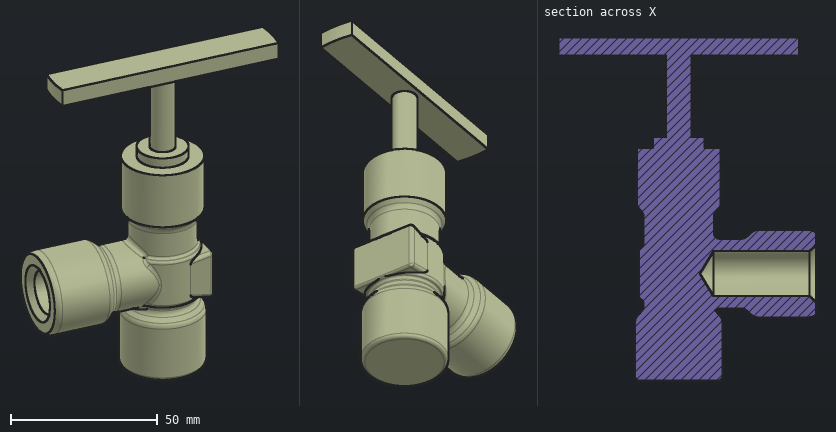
import cadquery as cq
import math

port_radius = 15.0
neck_radius = 12.1
port_length = 20.3
bottom_fillet = 1.4
shoulder_angle = 42.0
shoulder_outer_fillet = 2.8
shoulder_inner_fillet = 3.2

nut_radius = 14.3
nut_bottom = 59.4
nut_top = 79.5
gland_radius = 8.9
gland_top = 83.1
stem_radius = 4.5

side_port_height = 36.5
collar_radius = 13.6
collar_half_height = 9.5
collar_slope_length = 0.8
collar_fillet = 1.3

side_neck_radius = 12.0
side_port_reach = 47.0
side_port_length = 20.3
end_rounding_length = 2.5
end_rounding_drop = 1.0
branch_fillet = 2.0

bore_radius = 7.6
bore_chamfer = 2.3
bore_depth = 35.1
drill_tip_angle = 118.0

block_half_width = 12.8
block_back = 13.6
block_half_height = 9.0
block_draft = 10.0
block_side_fillet = 1.4
block_back_fillet = 0.8

handle_width = 13.0
handle_thickness = 6.2
handle_length = 82.4
handle_top = 117.1

shortest_line = 0.001

shoulder_setback = shoulder_outer_fillet * math.tan(math.radians(shoulder_angle / 2))


def sloped_height(large_radius, small_radius):
    """Height of a shoulder cone between two radii."""
    return (large_radius - small_radius) / math.tan(math.radians(shoulder_angle))


def turned(corners):
    """Turn a profile about Z. Each corner is (radius, height, rounding); both ends lie on the axis."""
    pen = cq.Vector(*corners[0][:2])
    profile = cq.Workplane("XZ").moveTo(pen.x, pen.y)
    for before, corner, after in zip(corners, corners[1:], corners[2:]):
        here = cq.Vector(*corner[:2])
        rounding = corner[2]
        if rounding == 0:
            if (here - pen).Length > shortest_line:
                profile = profile.lineTo(here.x, here.y)
            pen = here
            continue
        back = (cq.Vector(*before[:2]) - here).normalized()
        ahead = (cq.Vector(*after[:2]) - here).normalized()
        half_angle = back.getAngle(ahead) / 2
        tangent_length = rounding / math.tan(half_angle)
        arc_start = here + back * tangent_length
        arc_middle = here + (back + ahead).normalized() * (rounding / math.sin(half_angle) - rounding)
        pen = here + ahead * tangent_length
        profile = profile.lineTo(arc_start.x, arc_start.y)
        profile = profile.threePointArc((arc_middle.x, arc_middle.y), (pen.x, pen.y))
    return profile.lineTo(*corners[-1][:2]).close().revolve(360, (0, 0, 0), (0, 1, 0))


def along_side_port(solid):
    """Lay a part turned about Z along the side port, its +Z end towards -Y."""
    return solid.rotate((0, 0, 0), (1, 0, 0), 90).translate((0, 0, side_port_height))


def make_lower_port():
    shoulder_corner = port_length + shoulder_setback
    return turned([
        (0, 0, 0),
        (port_radius, 0, bottom_fillet),
        (port_radius, shoulder_corner, shoulder_outer_fillet),
        (neck_radius, shoulder_corner + sloped_height(port_radius, neck_radius), shoulder_inner_fillet),
        (neck_radius, side_port_height - collar_half_height, 0),
        (0, side_port_height - collar_half_height, 0),
    ])


def make_neck_and_stem():
    collar_outer = collar_half_height - collar_slope_length
    return turned([
        (0, port_length, 0),
        (neck_radius, port_length, 0),
        (neck_radius, side_port_height - collar_half_height, collar_fillet),
        (collar_radius, side_port_height - collar_outer, collar_fillet),
        (collar_radius, side_port_height + collar_outer, collar_fillet),
        (neck_radius, side_port_height + collar_half_height, collar_fillet),
        (neck_radius, nut_bottom - sloped_height(nut_radius, neck_radius), shoulder_inner_fillet),
        (nut_radius, nut_bottom, 0),
        (nut_radius, nut_top, 0),
        (gland_radius, nut_top, 0),
        (gland_radius, gland_top, 0),
        (stem_radius, gland_top, 0),
        (stem_radius, handle_top - handle_thickness, 0),
        (0, handle_top - handle_thickness, 0),
    ])


def make_side_port():
    shoulder_corner = side_port_reach - side_port_length - shoulder_setback
    neck_corner = shoulder_corner - sloped_height(port_radius, side_neck_radius)
    chord_squared = end_rounding_length**2 + end_rounding_drop**2
    rounding_radius = chord_squared / (2 * end_rounding_drop)
    rounding_tangent = chord_squared / (2 * end_rounding_length)
    port = turned([
        (0, 0, 0),
        (side_neck_radius, 0, 0),
        (side_neck_radius, neck_corner, shoulder_inner_fillet),
        (port_radius, shoulder_corner, shoulder_outer_fillet),
        (port_radius, side_port_reach - end_rounding_length + rounding_tangent, rounding_radius),
        (port_radius - end_rounding_drop, side_port_reach, 0),
        (0, side_port_reach, 0),
    ])
    return along_side_port(port)


def make_side_bore():
    bore_bottom = side_port_reach - bore_depth
    tip_depth = bore_radius / math.tan(math.radians(drill_tip_angle / 2))
    bore = turned([
        (0, bore_bottom - tip_depth, 0),
        (bore_radius, bore_bottom, 0),
        (bore_radius, side_port_reach - bore_chamfer, 0),
        (bore_radius + bore_chamfer, side_port_reach, 0),
        (0, side_port_reach, 0),
    ])
    return along_side_port(bore)


def make_block():
    front_half_height = block_half_height - block_back * math.tan(math.radians(block_draft))
    block = (
        cq.Workplane("YZ")
        .moveTo(0, -front_half_height)
        .lineTo(block_back, -block_half_height)
        .lineTo(block_back, block_half_height)
        .lineTo(0, front_half_height)
        .close()
        .extrude(block_half_width, both=True)
    )
    block = block.edges("|X and >Y").fillet(block_back_fillet)
    block = block.faces("<X or >X").edges("not(<Y)").fillet(block_side_fillet)
    return block.translate((0, 0, side_port_height))


def make_handle():
    bar = cq.Workplane("XY").rect(handle_width, handle_length).extrude(handle_thickness)
    rounded_ends = cq.Workplane("XY").circle(handle_length / 2).extrude(handle_thickness)
    return bar.intersect(rounded_ends).translate((0, 0, handle_top - handle_thickness))


branch = make_neck_and_stem().union(make_side_port()).edges("%BSPLINE").fillet(branch_fillet)
tee = branch.union(make_lower_port()).union(make_block())
result = tee.cut(make_side_bore()).union(make_handle())